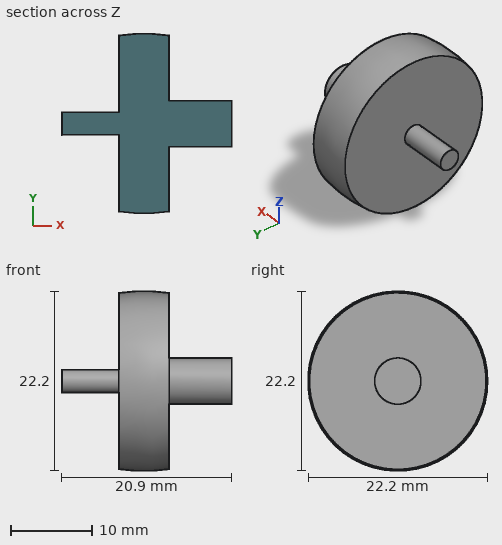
import cadquery as cq

wheel_diameter = 22.15
wheel_edge_diameter = 21.7
wheel_width = 6.18
pin_diameter = 2.81
pin_length = 7.0
shaft_diameter = 5.7
shaft_length = 7.71

half_width = wheel_width / 2
edge_radius = wheel_edge_diameter / 2


def make_wheel():
    """Revolve the half profile, whose rim is a shallow arc, about the X axis."""
    return (
        cq.Workplane("XY")
        .moveTo(-half_width, 0)
        .lineTo(-half_width, edge_radius)
        .threePointArc((0, wheel_diameter / 2), (half_width, edge_radius))
        .lineTo(half_width, 0)
        .close()
        .revolve(360, (0, 0, 0), (1, 0, 0))
    )


def make_round_bar(start_x, diameter, length):
    """Round bar on the wheel axis, running towards +X from start_x."""
    return cq.Workplane("YZ", origin=(start_x, 0, 0)).circle(diameter / 2).extrude(length)


pin = make_round_bar(-half_width - pin_length, pin_diameter, pin_length)
shaft = make_round_bar(half_width, shaft_diameter, shaft_length)

result = make_wheel().union(pin).union(shaft)